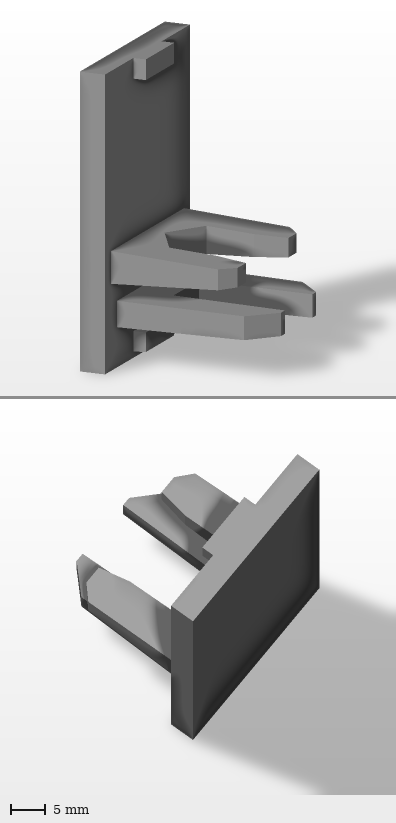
import cadquery as cq

plate_thickness = 4.0
plate_width = 30.0
plate_height = 45.05

tab_reach = 6.0
tab_half_width = 5.0
tab_height = 3.1
bottom_tab_top = 4.0
bottom_tab_root_z = 0.95
bottom_tab_tip_z = 1.1

upper_reach = 23.0
upper_mid_z = 15.55
upper_root_height = 4.9
upper_tip_height = 2.93
upper_root_half_width = 12.9
upper_shoulder_half_width = 12.7
upper_tip_half_width = 10.4
upper_shoulder_x = 20.9
upper_tip_gap = 7.47
upper_gap = 6.55
upper_flare_x = 18.0
notch_mouth_x = 10.4
notch_bottom_x = 6.7

lower_reach = 28.0
lower_mid_z = 8.0
lower_root_height = 3.95
lower_tip_height = 3.5
lower_root_half_width = 10.75
lower_shoulder_half_width = 10.3
lower_tip_half_width = 6.2
lower_shoulder_x = 24.0
lower_tip_gap = 4.8
lower_gap = 4.5
slot_bottom_x = 10.18


def tapered_fork(half_outline, root_x, reach, mid_z, root_height, tip_height):
    """Cut a symmetric plan outline from a wedge that thins away from the plate."""
    mirrored = [(x, -y) for x, y in reversed(half_outline) if y > 0]
    plan = cq.Workplane("XY").polyline(half_outline + mirrored).close().extrude(plate_height)
    wedge = (
        cq.Workplane("XZ")
        .polyline([
            (root_x, mid_z - root_height / 2),
            (reach, mid_z - tip_height / 2),
            (reach, mid_z + tip_height / 2),
            (root_x, mid_z + root_height / 2),
        ])
        .close()
        .extrude(plate_width / 2, both=True)
    )
    return plan.intersect(wedge)


plate = cq.Workplane("XY").box(
    plate_thickness, plate_width, plate_height, centered=(False, True, False)
)

top_tab = (
    cq.Workplane("XY")
    .box(tab_reach, 2 * tab_half_width, tab_height, centered=(False, True, False))
    .translate((0, 0, plate_height - tab_height))
)

bottom_tab = (
    cq.Workplane("XZ")
    .polyline([
        (plate_thickness, bottom_tab_root_z),
        (tab_reach, bottom_tab_tip_z),
        (tab_reach, bottom_tab_top),
        (plate_thickness, bottom_tab_top),
    ])
    .close()
    .extrude(tab_half_width, both=True)
)

upper_fork = tapered_fork(
    [
        (plate_thickness, upper_root_half_width),
        (upper_shoulder_x, upper_shoulder_half_width),
        (upper_reach, upper_tip_half_width),
        (upper_reach, upper_tip_gap),
        (upper_flare_x, upper_gap),
        (notch_mouth_x, upper_gap),
        (notch_bottom_x, 0),
    ],
    plate_thickness, upper_reach, upper_mid_z, upper_root_height, upper_tip_height,
)

lower_fork = tapered_fork(
    [
        (plate_thickness, lower_root_half_width),
        (lower_shoulder_x, lower_shoulder_half_width),
        (lower_reach, lower_tip_half_width),
        (lower_reach, lower_tip_gap),
        (slot_bottom_x, lower_gap),
    ],
    plate_thickness, lower_reach, lower_mid_z, lower_root_height, lower_tip_height,
)

result = plate.union(top_tab).union(bottom_tab).union(upper_fork).union(lower_fork)